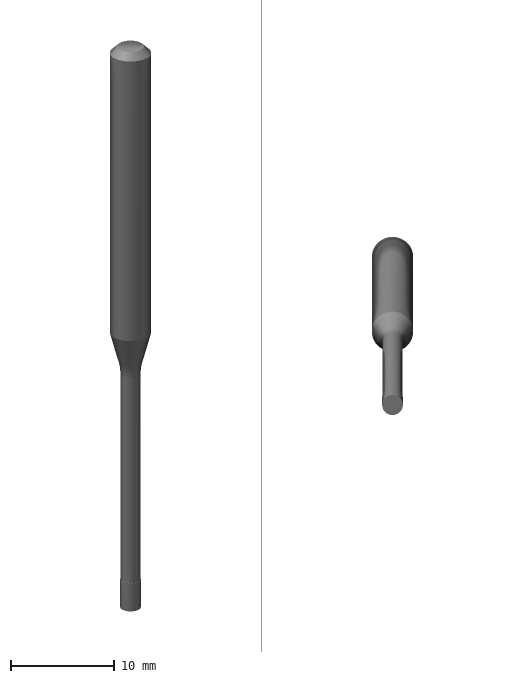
import cadquery as cq
import math

total_length = 60.0
shank_radius = 2.0

cutter_radius = 1.0
cutter_length = 2.65
collar_top = 3.0

neck_radius = 0.975
neck_top = 25.0
blend_top = 26.65
shank_bottom = 29.4
cone_half_angle = math.radians(15)
blend_top_radius = shank_radius - (shank_bottom - blend_top) * math.tan(cone_half_angle)

chamfer = 0.7


def make_cutter():
    """Plain cylinder at the lower end of the tool."""
    return cq.Workplane("XY").circle(cutter_radius).extrude(cutter_length)


def make_holder():
    """Collar, neck, blend, cone and chamfered shank, revolved about Z."""
    profile = (
        cq.Workplane("YZ")
        .moveTo(0, cutter_length)
        .lineTo(cutter_radius, cutter_length)
        .lineTo(cutter_radius, collar_top)
        .lineTo(neck_radius, collar_top)
        .lineTo(neck_radius, neck_top)
        .tangentArcPoint((blend_top_radius, blend_top), relative=False)
        .lineTo(shank_radius, shank_bottom)
        .lineTo(shank_radius, total_length - chamfer)
        .lineTo(shank_radius - chamfer, total_length)
        .lineTo(0, total_length)
        .close()
    )
    return profile.revolve(360, (0, 0, 0), (0, 1, 0))


cutter = make_cutter()
holder = make_holder()
result = cq.Compound.makeCompound([cutter.val(), holder.val()])